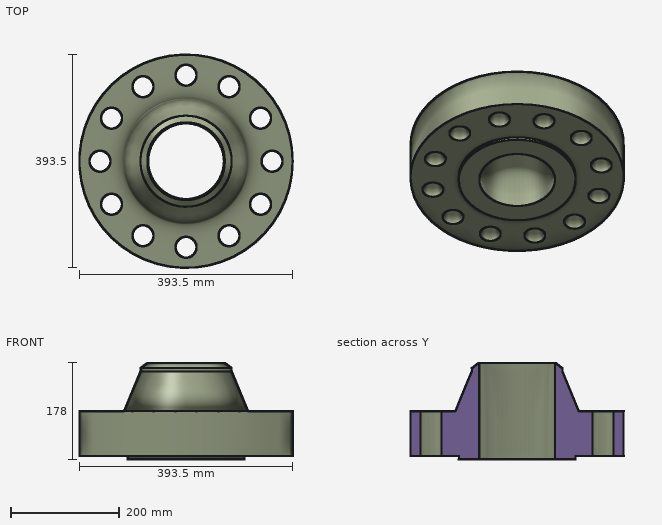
import cadquery as cq
import math

flange_diameter = 393.5
flange_thickness = 82.5
raised_face_diameter = 215.5
raised_face_height = 6.3

overall_height = 178.0
neck_base_diameter = 228.5
neck_end_diameter = 168.0
neck_straight_height = 6.0
neck_root_fillet = 3.0

bore_diameter = 139.5
land_width = 2.0
bevel_angle = 37.5

bolt_count = 12
bolt_circle_diameter = 317.2
bolt_hole_diameter = 38.0

flange_radius = flange_diameter / 2
raised_face_radius = raised_face_diameter / 2
neck_base_radius = neck_base_diameter / 2
neck_end_radius = neck_end_diameter / 2
bore_radius = bore_diameter / 2
land_radius = bore_radius + land_width
bevel_height = (neck_end_radius - land_radius) * math.tan(math.radians(bevel_angle))
flange_top = raised_face_height + flange_thickness
bevel_start = overall_height - bevel_height
taper_end = bevel_start - neck_straight_height


def make_body():
    """Revolve the half section of the bored flange about Z."""
    half_section = [
        (bore_radius, 0),
        (raised_face_radius, 0),
        (raised_face_radius, raised_face_height),
        (flange_radius, raised_face_height),
        (flange_radius, flange_top),
        (neck_base_radius, flange_top),
        (neck_end_radius, taper_end),
        (neck_end_radius, bevel_start),
        (land_radius, overall_height),
        (bore_radius, overall_height),
    ]
    return cq.Workplane("XZ").polyline(half_section).close().revolve(360, (0, 0), (0, 1))


def round_neck_root(body):
    """Fillet the circle where the neck meets the top of the flange."""
    margin = neck_root_fillet
    reach = neck_base_radius + margin
    root_edge = cq.selectors.BoxSelector(
        (-reach, -reach, flange_top - margin),
        (reach, reach, flange_top + margin),
        boundingbox=True,
    )
    return body.edges(root_edge).fillet(neck_root_fillet)


def make_bolt_holes():
    """Cylinders through the plate, the first one on the +X axis."""
    return (
        cq.Workplane("XY")
        .polarArray(bolt_circle_diameter / 2, 0, 360, bolt_count)
        .circle(bolt_hole_diameter / 2)
        .extrude(flange_top)
    )


result = round_neck_root(make_body()).cut(make_bolt_holes())